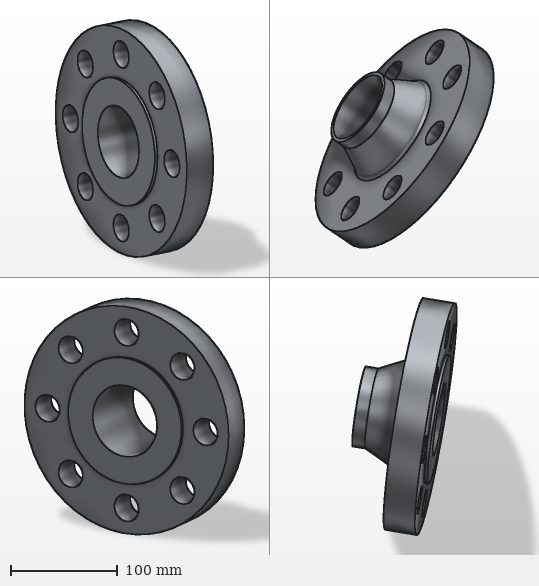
import cadquery as cq

flange_diameter = 220.0
flange_thickness = 30.0
face_diameter = 121.9
face_height = 3.0
bore_diameter = 69.0
overall_length = 76.0
neck_diameter = 76.1
neck_length = 12.0
hub_diameter = 103.0
hub_root_diameter = 109.5
root_height = 3.3
root_sag = 0.5
bolt_circle_diameter = 170.0
bolt_hole_diameter = 26.0
bolt_count = 8

flange_front = face_height
flange_back = flange_front + flange_thickness
cone_start = flange_back + root_height
neck_start = overall_length - neck_length


def revolved_body():
    """Solid of revolution: raised face, flange, filleted cone and weld neck."""
    root_end = (hub_root_diameter / 2, flange_back)
    cone_end = (hub_diameter / 2, cone_start)
    return (
        cq.Workplane("XY")
        .moveTo(bore_diameter / 2, 0)
        .lineTo(face_diameter / 2, 0)
        .lineTo(face_diameter / 2, flange_front)
        .lineTo(flange_diameter / 2, flange_front)
        .lineTo(flange_diameter / 2, flange_back)
        .lineTo(*root_end)
        .sagittaArc(cone_end, root_sag)
        .lineTo(neck_diameter / 2, neck_start)
        .lineTo(neck_diameter / 2, overall_length)
        .lineTo(bore_diameter / 2, overall_length)
        .close()
        .revolve(360, (0, 0, 0), (0, 1, 0))
    )


def bolt_holes():
    """Ring of through holes, the first one on the X axis."""
    return (
        cq.Workplane("XZ")
        .polarArray(bolt_circle_diameter / 2, 0, 360, bolt_count)
        .circle(bolt_hole_diameter / 2)
        .extrude(-overall_length)
    )


result = revolved_body().cut(bolt_holes())